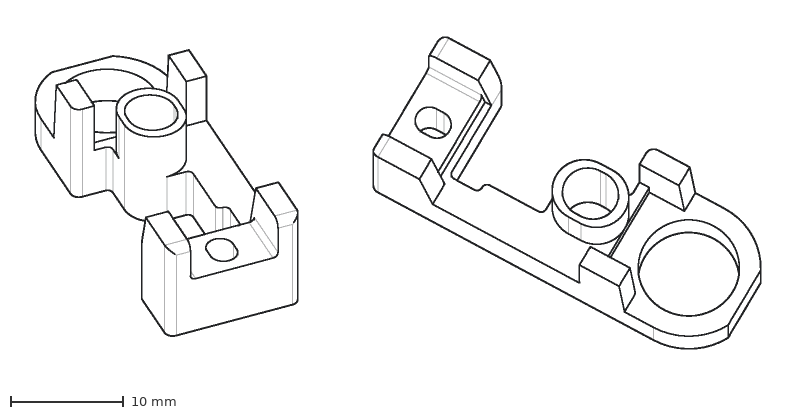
import cadquery as cq
import math

LENGTH = 34.6
WIDTH = 12.8
HEIGHT = 10.0
HALF_WIDTH = WIDTH / 2

RING_THICKNESS = 3.6
BASE_THICKNESS = 4.95
RING_CENTER_X = 5.67
RING_BORE_DIAMETER = 9.0
LEFT_END_X = 13.2
SMALL_RADIUS = 0.5
CORNER_RADIUS = 0.8

ARM_EDGE_Y = 2.35
ARM_NOTCH_X = 25.15
ARM_NOTCH_Y = 3.4
RIGHT_BODY_X = 28.2

TUBE_X = 15.7
TUBE_LENGTH = 7.0
TUBE_WIDTH = 5.75
TUBE_TOP = 9.7
TUBE_BORE_LENGTH = 5.05
TUBE_BORE_WIDTH = 4.53
TUBE_SIDE_X = TUBE_X + TUBE_LENGTH / 2
STEP_X = TUBE_X - TUBE_LENGTH / 2

LEFT_POST_WIDTH = 1.97
LEFT_POST_FOOT_X = 8.3
LEFT_POST_SLOPE = 5.0
RIGHT_POST_WIDTH = 2.18
RIGHT_POST_SLOPE = 15.0

PAD_X = 28.85
PAD_TOP = 5.9
SLOT_X = 31.75
SLOT_LENGTH = 3.3
SLOT_WIDTH = 2.53

PICK_MARGIN = 0.05


def slope_run(rise, angle):
    """Horizontal shift of a face leaning by angle over a vertical rise."""
    return rise * math.tan(math.radians(angle))


def sloped_block(foot_x, end_x, z_bottom, z_top, angle, y_min, y_max):
    """Block whose left face leans toward +X as it rises."""
    top_x = foot_x + slope_run(z_top - z_bottom, angle)
    side = [(foot_x, z_bottom), (end_x, z_bottom), (end_x, z_top), (top_x, z_top)]
    return cq.Workplane("XZ", origin=(0, y_max, 0)).polyline(side).close().extrude(y_max - y_min)


def oblong(center_x, length, width, height):
    """Upright oblong prism standing on the underside plane."""
    return cq.Workplane("XY").center(center_x, 0).slot2D(length, width).extrude(height)


def round_upright_edge(body, x, y, radius):
    """Fillet the vertical edge standing at (x, y)."""
    corner_box = cq.selectors.BoxSelector(
        (x - PICK_MARGIN, y - PICK_MARGIN, 0),
        (x + PICK_MARGIN, y + PICK_MARGIN, HEIGHT),
    )
    return body.edges("|Z").edges(corner_box).fillet(radius)


def build_base(height):
    """Base outline with its rounded corners, extruded to the given height."""
    ring_radius = HALF_WIDTH
    flat_half = math.sqrt(ring_radius**2 - RING_CENTER_X**2)
    mid_angle = (math.pi / 2 + math.atan2(flat_half, -RING_CENTER_X)) / 2
    mid_x = RING_CENTER_X + ring_radius * math.cos(mid_angle)
    mid_y = ring_radius * math.sin(mid_angle)
    tube_low_y = -TUBE_WIDTH / 2
    base = (
        cq.Workplane("XY")
        .moveTo(0, -flat_half)
        .threePointArc((mid_x, -mid_y), (RING_CENTER_X, -HALF_WIDTH))
        .lineTo(LEFT_END_X, -HALF_WIDTH)
        .lineTo(LEFT_END_X, tube_low_y)
        .lineTo(TUBE_SIDE_X, tube_low_y)
        .lineTo(TUBE_SIDE_X, ARM_EDGE_Y)
        .lineTo(ARM_NOTCH_X, ARM_EDGE_Y)
        .lineTo(ARM_NOTCH_X, ARM_NOTCH_Y)
        .lineTo(RIGHT_BODY_X, ARM_NOTCH_Y)
        .lineTo(RIGHT_BODY_X, -HALF_WIDTH)
        .lineTo(LENGTH, -HALF_WIDTH)
        .lineTo(LENGTH, HALF_WIDTH)
        .lineTo(RING_CENTER_X, HALF_WIDTH)
        .threePointArc((mid_x, mid_y), (0, flat_half))
        .close()
        .extrude(height)
    )
    corners = [
        (LEFT_END_X, -HALF_WIDTH, CORNER_RADIUS),
        (LEFT_END_X, tube_low_y, SMALL_RADIUS),
        (TUBE_SIDE_X, tube_low_y, TUBE_WIDTH / 2),
        (TUBE_SIDE_X, ARM_EDGE_Y, SMALL_RADIUS),
        (ARM_NOTCH_X, ARM_EDGE_Y, SMALL_RADIUS),
        (ARM_NOTCH_X, ARM_NOTCH_Y, SMALL_RADIUS),
        (RIGHT_BODY_X, ARM_NOTCH_Y, SMALL_RADIUS),
        (RIGHT_BODY_X, -HALF_WIDTH, SMALL_RADIUS),
        (LENGTH, -HALF_WIDTH, CORNER_RADIUS),
        (LENGTH, HALF_WIDTH, CORNER_RADIUS),
    ]
    for x, y, radius in corners:
        base = round_upright_edge(base, x, y, radius)
    return base


def build_left_posts():
    """Pair of leaning posts beside the step, one on each side."""
    inner_y = HALF_WIDTH - LEFT_POST_WIDTH
    span = (LEFT_POST_FOOT_X, LEFT_END_X, 0, HEIGHT, LEFT_POST_SLOPE)
    return sloped_block(*span, inner_y, HALF_WIDTH).union(sloped_block(*span, -HALF_WIDTH, -inner_y))


def build_right_end():
    """Raised pad with a post on each side, blended where they meet."""
    inner_y = HALF_WIDTH - RIGHT_POST_WIDTH
    span = (RIGHT_BODY_X, LENGTH, BASE_THICKNESS, HEIGHT, RIGHT_POST_SLOPE)
    end = sloped_block(PAD_X, LENGTH, BASE_THICKNESS, PAD_TOP, RIGHT_POST_SLOPE, -inner_y, inner_y)
    for y_min in (inner_y, -HALF_WIDTH):
        post = sloped_block(*span, y_min, y_min + RIGHT_POST_WIDTH)
        end = end.union(post.edges(">X and >Z").fillet(CORNER_RADIUS))
    pad_seams = cq.selectors.BoxSelector(
        (PAD_X, -inner_y - SMALL_RADIUS, PAD_TOP - PICK_MARGIN),
        (LENGTH, inner_y + SMALL_RADIUS, PAD_TOP + PICK_MARGIN),
    )
    return end.edges("|X").edges(pad_seams).fillet(SMALL_RADIUS)


envelope = build_base(HEIGHT)
base = build_base(BASE_THICKNESS)

ring_relief = (
    cq.Workplane("XY", origin=(0, 0, RING_THICKNESS))
    .rect(2 * STEP_X, 2 * WIDTH)
    .extrude(HEIGHT)
)
base = base.cut(ring_relief)

posts = build_left_posts().union(build_right_end()).intersect(envelope)
tube = oblong(TUBE_X, TUBE_LENGTH, TUBE_WIDTH, TUBE_TOP)
body = base.union(posts).union(tube)

ring_bore = cq.Workplane("XY").center(RING_CENTER_X, 0).circle(RING_BORE_DIAMETER / 2).extrude(HEIGHT)
tube_bore = oblong(TUBE_X, TUBE_BORE_LENGTH, TUBE_BORE_WIDTH, HEIGHT)
pad_slot = oblong(SLOT_X, SLOT_LENGTH, SLOT_WIDTH, HEIGHT)
result = body.cut(ring_bore).cut(tube_bore).cut(pad_slot)